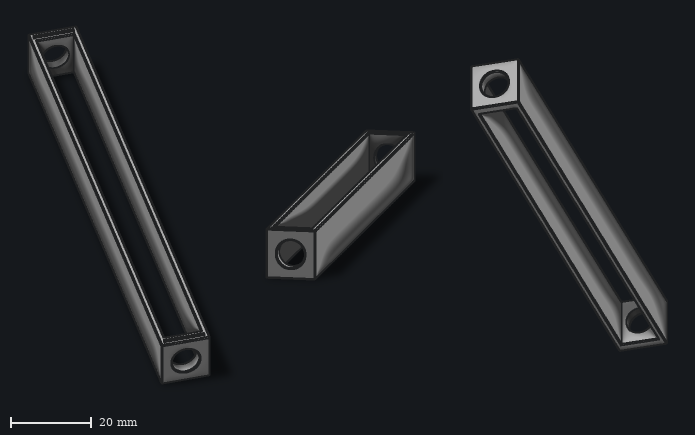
import cadquery as cq

length = 125.0
width = 12.5
height = 12.5

end_wall = 3.1
side_wall = end_wall / 2

hole_diameter = 7.0

edge_chamfer = 0.3

groove_width = 0.94
groove_depth = 0.31
groove_margin = (end_wall - groove_width) / 2
groove_length = width - 2 * groove_margin


def make_frame():
    """Rectangular frame, open at the top and the bottom."""
    block = cq.Workplane("XY").box(length, width, height)
    opening = cq.Workplane("XY").box(length - 2 * end_wall, width - 2 * side_wall, height)
    return block.cut(opening)


def make_end_holes():
    """Cylinder along X that pierces both end walls at mid-height."""
    return cq.Workplane("YZ").circle(hole_diameter / 2).extrude(length / 2, both=True)


def bevel_edges(frame):
    """Bevel the outer edges, both rims of the opening and the outer rims of the holes."""
    return frame.faces("|Z or <X or >X").edges().chamfer(edge_chamfer)


def make_grooves():
    """One groove along Y, centred on the thickness of each end wall."""
    groove_x = (length - end_wall) / 2
    return (
        cq.Workplane("XY", origin=(0, 0, height / 2 - groove_depth))
        .pushPoints([(-groove_x, 0), (groove_x, 0)])
        .rect(groove_width, groove_length)
        .extrude(groove_depth)
    )


frame = bevel_edges(make_frame().cut(make_end_holes()))
result = frame.cut(make_grooves())